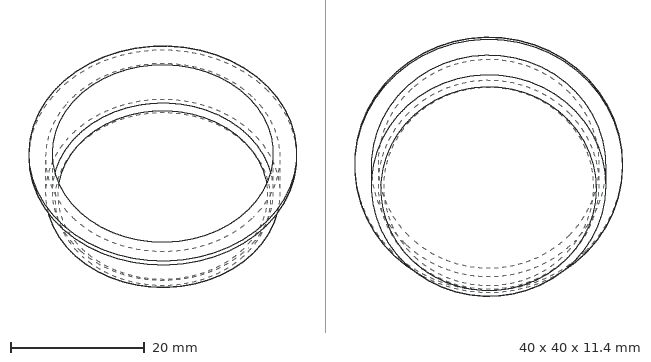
import cadquery as cq
import math

flange_diameter = 40.0
flange_thickness = 1.0
body_diameter = 35.0
wall = 1.0
straight_height = 9.0
outer_bevel = math.sqrt(2)

flange_radius = flange_diameter / 2
body_radius = body_diameter / 2
cavity_radius = body_radius - wall
inner_bevel = outer_bevel - wall * (2 - math.sqrt(2))
flange_bottom = outer_bevel + straight_height
total_height = flange_bottom + flange_thickness


def make_body():
    """Solid flanged plug, revolved about Z from its outer profile."""
    return (
        cq.Workplane("XZ")
        .lineTo(body_radius - outer_bevel, 0)
        .lineTo(body_radius, outer_bevel)
        .lineTo(body_radius, flange_bottom)
        .lineTo(flange_radius, flange_bottom)
        .lineTo(flange_radius, total_height)
        .lineTo(0, total_height)
        .close()
        .revolve(360, (0, 0, 0), (0, 1, 0))
    )


def make_cavity():
    """Round pocket open at the top, bevelled around its floor."""
    return (
        cq.Workplane("XY")
        .workplane(offset=wall)
        .circle(cavity_radius)
        .extrude(total_height - wall)
        .faces("<Z")
        .chamfer(inner_bevel)
    )


result = make_body().cut(make_cavity())